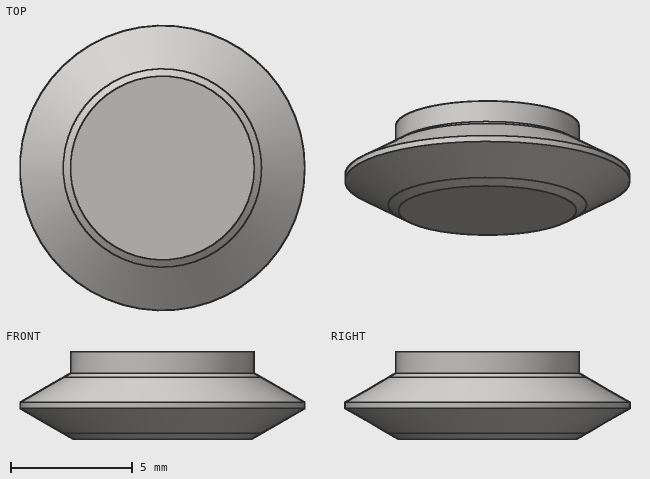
import cadquery as cq
import math

total_height = 3.6
rim_diameter = 11.7
rim_height = 0.25
bore_diameter = 8.14
head_diameter = 7.54
head_height = 0.88
slope_angle = 30.0

rim_radius = rim_diameter / 2
bore_radius = bore_diameter / 2
head_radius = head_diameter / 2
slope = math.tan(math.radians(slope_angle))

shoulder_z = total_height - head_height
rim_top_z = shoulder_z - (rim_radius - head_radius) * slope
rim_bottom_z = rim_top_z - rim_height
ring_top_z = rim_top_z + (rim_radius - bore_radius) * slope
ring_bottom_z = rim_bottom_z - (rim_radius - bore_radius) * slope
base_radius = rim_radius - rim_bottom_z / slope


def revolve_profile(points):
    """Turn a closed (radius, height) outline a full circle about Z."""
    outline = cq.Workplane("XZ").polyline(points).close()
    return outline.revolve(360, (0, 0, 0), (0, 1, 0))


def make_ring():
    """Outer ring with two conical flanks, a narrow rim and a plain bore."""
    return revolve_profile([
        (bore_radius, ring_bottom_z),
        (rim_radius, rim_bottom_z),
        (rim_radius, rim_top_z),
        (bore_radius, ring_top_z),
    ])


def make_core():
    """Solid core that fills the bore, carries on the flanks and ends in a round head."""
    return revolve_profile([
        (0, 0),
        (base_radius, 0),
        (bore_radius, ring_bottom_z),
        (bore_radius, ring_top_z),
        (head_radius, shoulder_z),
        (head_radius, total_height),
        (0, total_height),
    ])


ring = make_ring()
core = make_core()

result = cq.Compound.makeCompound([ring.val(), core.val()])